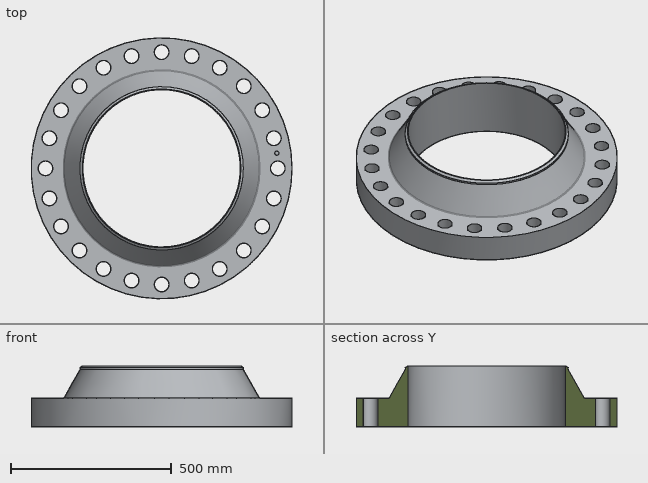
import cadquery as cq
import math

flange_diameter = 812.5
flange_thickness = 89.0
flange_radius = flange_diameter / 2

total_height = 190.0
bore_radius = 244.5
hub_top_radius = 254.0
hub_base_radius = 305.0
base_fillet_radius = 3.0
bevel_height = 6.0
land_width = 2.5
neck_length = 6.0

bolt_count = 24
bolt_pitch = 360 / bolt_count
bolt_circle_radius = 361.5
bolt_hole_diameter = 45.0

small_hole_diameter = 13.0
small_hole_depth = 24.0
small_hole_angle = bolt_pitch / 2


def on_bolt_circle(angle):
    """Return the XY point on the bolt circle at an angle in degrees from +X."""
    turn = math.radians(angle)
    return (bolt_circle_radius * math.cos(turn), bolt_circle_radius * math.sin(turn))


def flange_and_hub():
    """Revolve the solid flange and hub about Z, leaving out the bore."""
    neck_top = total_height - bevel_height
    neck_bottom = neck_top - neck_length
    flange = cq.Workplane("XY").circle(flange_radius).extrude(flange_thickness)
    hub = (
        cq.Workplane("XZ")
        .moveTo(0, 0)
        .lineTo(hub_base_radius, 0)
        .lineTo(hub_base_radius, flange_thickness)
        .lineTo(hub_top_radius, neck_bottom)
        .lineTo(hub_top_radius, neck_top)
        .lineTo(bore_radius + land_width, total_height)
        .lineTo(0, total_height)
        .close()
        .revolve(360, (0, 0), (0, 1))
    )
    body = flange.union(hub)
    face_box = cq.selectors.BoxSelector(
        (-flange_radius, -flange_radius, flange_thickness - base_fillet_radius),
        (flange_radius, flange_radius, flange_thickness + base_fillet_radius),
    )
    smallest = cq.selectors.RadiusNthSelector(0)
    return body.edges("%CIRCLE").edges(face_box).edges(smallest).fillet(base_fillet_radius)


def bore():
    return cq.Workplane("XY").circle(bore_radius).extrude(total_height)


def bolt_holes():
    centers = [on_bolt_circle(i * bolt_pitch) for i in range(bolt_count)]
    return cq.Workplane("XY").pushPoints(centers).circle(bolt_hole_diameter / 2).extrude(flange_thickness)


def small_hole():
    return (
        cq.Workplane("XY", origin=(0, 0, flange_thickness))
        .pushPoints([on_bolt_circle(small_hole_angle)])
        .circle(small_hole_diameter / 2)
        .extrude(-small_hole_depth)
    )


result = flange_and_hub().cut(bore()).cut(bolt_holes()).cut(small_hole())